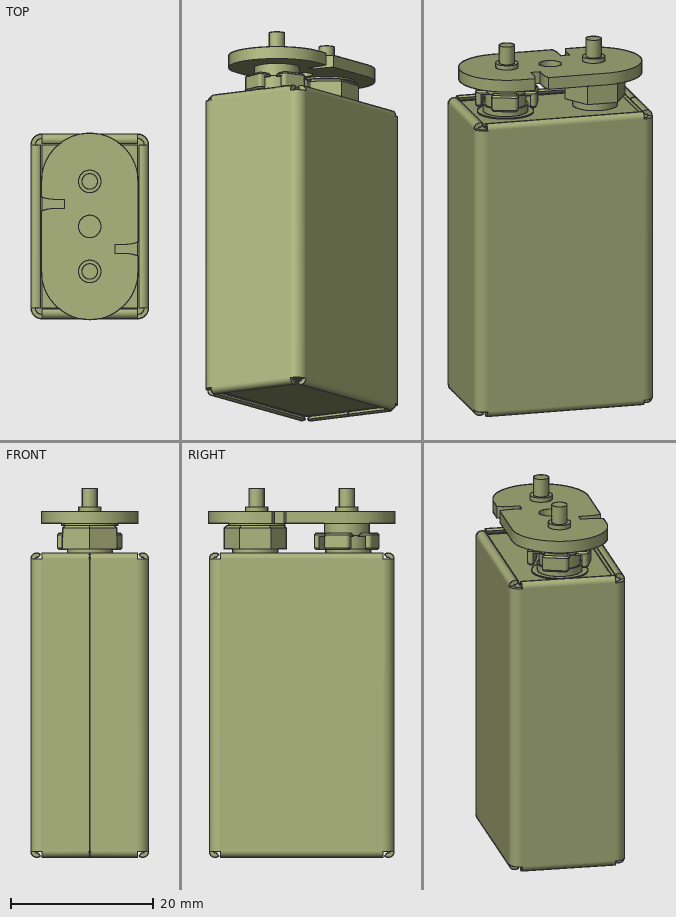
import cadquery as cq
import math

case_x = 16.6
case_y = 26.05
case_top = 42.85
corner_radius = 1.55

sheet = 0.6
curl_radius = 0.85
curl_past_top = 39
seam_gap = 0.1

panel_drop = 0.6
terminal_y = 6.55
base_diameter = 6.35
base_top = 43.45
washer_diameter = 7.95
washer_height = 0.15
hex_width = 8.8
hex_chamfer = 0.35
stud_diameter = 5.8

plate_bottom = 47.0
plate_top = 48.75
plate_width = 13.6
plate_length = 26.3
hole_diameter = 3.15
slot_y = 3.15
slot_width = 1.3
slot_mouth = 2.0
slot_depth = 3.2
slot_flare_length = 1.75

shank_top = 49.35
pin_diameter = 2.2
pin_top = 51.95
flange_diameter = 7.95
flange_height = 0.25
cup_diameter = 6.35
cup_bottom = 45.3
petal_top = 45.65
petal_bottom = 43.35
petal_reach = 4.3
petal_width = 3.75
petal_thickness = 0.85
petal_arm = 0.5
petal_bevel = 0.25
petal_rounding = 0.45
petal_count = 4
petal_angle = 160

wall_bottom = curl_radius
wall_top = case_top - curl_radius
wall_height = wall_top - wall_bottom
plate_thickness = plate_top - plate_bottom
contact_y = (plate_length - plate_width) / 2
panel_top = case_top - panel_drop
hex_top = plate_bottom - flange_height


def cylinder(diameter, y, bottom, top):
    """Upright cylinder centred on x = 0."""
    return cq.Workplane("XY", origin=(0, y, bottom)).circle(diameter / 2).extrude(top - bottom)


def rounded_block(inset):
    """Upright block between the jacket's curls, inset from the battery envelope."""
    block = cq.Workplane("XY", origin=(0, 0, wall_bottom))
    block = block.rect(case_x - 2 * inset, case_y - 2 * inset).extrude(wall_height)
    return block.edges("|Z").fillet(corner_radius - inset)


def curl_point(radius, degrees):
    """Point on a curl; the angle runs from the wall (0) over the crest (90)."""
    angle = math.radians(degrees)
    return (curl_radius - radius * math.cos(angle), radius * math.sin(angle))


def lip(length):
    """Curled lip with its wall on the YZ plane, rising from z = 0 and leaning to +X."""
    inner_radius = curl_radius - sheet
    end = 90 + curl_past_top
    profile = (
        cq.Workplane("XZ")
        .moveTo(*curl_point(curl_radius, 0))
        .threePointArc(curl_point(curl_radius, end / 2), curl_point(curl_radius, end))
        .lineTo(*curl_point(inner_radius, end))
        .threePointArc(curl_point(inner_radius, end / 2), curl_point(inner_radius, 0))
        .close()
    )
    return profile.extrude(length / 2, both=True)


def make_jacket():
    jacket = rounded_block(0).cut(rounded_block(sheet))
    sides = [
        (0, case_x, case_y),
        (90, case_y, case_x),
        (180, case_x, case_y),
        (270, case_y, case_x),
    ]
    for turn, span, side_length in sides:
        upper = lip(side_length - 2 * corner_radius).translate((-span / 2, 0, wall_top))
        upper = upper.rotate((0, 0, 0), (0, 0, 1), turn)
        lower = upper.mirror("XY", (0, 0, case_top / 2))
        jacket = jacket.union(upper).union(lower)
    seam_depth = 2 * curl_radius
    seam = cq.Workplane("XY").box(seam_gap, seam_depth, case_top, centered=(True, False, False))
    return jacket.cut(seam.translate((0, -case_y / 2, 0)))


def make_hex_terminal():
    base = cylinder(base_diameter, -terminal_y, panel_top, base_top)
    head = cq.Workplane("XY", origin=(0, -terminal_y, base_top)).transformed(rotate=(0, 0, 90))
    head = head.polygon(6, hex_width).extrude(hex_top - base_top)
    return base.union(head.faces(">Z").chamfer(hex_chamfer))


def make_stud_terminal():
    washer = cylinder(washer_diameter, terminal_y, panel_top, panel_top + washer_height)
    base = cylinder(base_diameter, terminal_y, panel_top, base_top)
    stud = cylinder(stud_diameter, terminal_y, base_top, cup_bottom)
    return washer.union(base).union(stud)


def make_core():
    panel_height = panel_top - panel_drop
    panels = cq.Workplane("XY", origin=(0, 0, panel_drop))
    panels = panels.rect(case_x - 2 * corner_radius, case_y - 2 * corner_radius).extrude(panel_height)
    core = rounded_block(sheet).union(panels)
    return core.union(make_hex_terminal()).union(make_stud_terminal())


def make_slot():
    """Slot entering the plate from -X, widening along tangent arcs towards the edge."""
    edge = -plate_width / 2
    throat = edge + slot_flare_length
    half_width = slot_width / 2
    half_mouth = slot_mouth / 2
    slot = (
        cq.Workplane("XY", origin=(0, slot_y, plate_bottom))
        .moveTo(throat, -half_width)
        .lineTo(edge + slot_depth, -half_width)
        .lineTo(edge + slot_depth, half_width)
        .lineTo(throat, half_width)
        .tangentArcPoint((edge, half_mouth), relative=False)
        .lineTo(edge, -half_mouth)
    )
    flare_rise = half_mouth - half_width
    flare_radius = (slot_flare_length**2 + flare_rise**2) / (2 * flare_rise)
    return slot.radiusArc((throat, -half_width), flare_radius).close().extrude(plate_thickness)


def make_plate():
    plate = cq.Workplane("XY", origin=(0, 0, plate_bottom))
    plate = plate.slot2D(plate_length, plate_width, 90).extrude(plate_thickness)
    for y in (-contact_y, 0, contact_y):
        plate = plate.cut(cylinder(hole_diameter, y, plate_bottom, plate_top))
    slot = make_slot()
    opposite_slot = slot.rotate((0, 0, 0), (0, 0, 1), 180)
    return plate.cut(slot).cut(opposite_slot)


def make_pin(y):
    """Shank that fills a plate hole, carrying the thin solder pin."""
    shank = cylinder(hole_diameter, y, plate_bottom, shank_top)
    return shank.union(cylinder(pin_diameter, y, shank_top, pin_top))


def make_flange_contact():
    flange = cylinder(flange_diameter, -contact_y, hex_top, plate_bottom)
    return flange.union(make_pin(-contact_y))


def make_petal():
    """Spring petal along +X: an arm on the cup and a leg hanging from its end."""
    arm = cq.Workplane("XY").box(petal_reach, petal_width, petal_arm, centered=(False, True, False))
    arm = arm.translate((0, 0, petal_top - petal_arm))
    cup_clearance = cq.Workplane("XY").circle(stud_diameter / 2).extrude(cup_bottom)
    leg_height = petal_top - petal_bottom
    leg = cq.Workplane("XY").box(petal_thickness, petal_width, leg_height, centered=(False, True, False))
    leg = leg.translate((petal_reach - petal_thickness, 0, petal_bottom))
    petal = arm.cut(cup_clearance).union(leg)
    petal = petal.faces(">X").edges("|Z").fillet(petal_rounding)
    return petal.faces(">X").edges("|Y").chamfer(petal_bevel)


def make_petal_contact():
    contact = cylinder(cup_diameter, contact_y, cup_bottom, plate_bottom).union(make_pin(contact_y))
    petal = make_petal()
    for index in range(petal_count):
        angle = petal_angle + index * 360 / petal_count
        placed = petal.rotate((0, 0, 0), (0, 0, 1), angle).translate((0, contact_y, 0))
        contact = contact.union(placed)
    return contact.cut(cylinder(stud_diameter, terminal_y, base_top, cup_bottom))


jacket = make_jacket()
core = make_core()
plate = make_plate()
flange_contact = make_flange_contact()
petal_contact = make_petal_contact()

result = cq.Compound.makeCompound(
    [jacket.val(), core.val(), plate.val(), flange_contact.val(), petal_contact.val()]
)